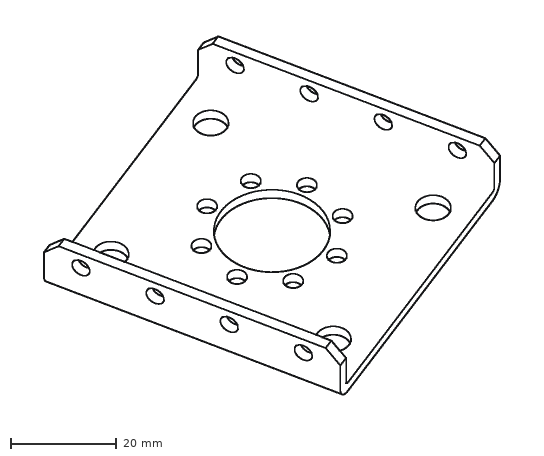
import cadquery as cq

length = 64.0
width = 64.0
height = 12.7
thickness = 2.286
inner_bend_radius = 0.762
outer_bend_radius = inner_bend_radius + thickness
flange_corner_chamfer = 3.175

flange_hole_diameter = 3.8
flange_hole_pitch = 16.0
flange_hole_count = 4
flange_hole_height = 9.15

bore_diameter = 22.1
bolt_circle_diameter = 28.0
bolt_hole_diameter = 3.8
bolt_hole_count = 8
mount_hole_diameter = 6.75
mount_hole_spacing_x = 48.0
mount_hole_spacing_y = 40.0


def make_channel():
    """U-shaped channel, centred in X and Y, with its underside at Z = 0."""
    outer = (
        cq.Workplane("XY")
        .box(length, width, height, centered=(True, True, False))
        .edges("|X and <Z")
        .fillet(outer_bend_radius)
    )
    inner = (
        cq.Workplane("XY")
        .workplane(offset=thickness)
        .box(length, width - 2 * thickness, height, centered=(True, True, False))
        .edges("|X and <Z")
        .fillet(inner_bend_radius)
    )
    return outer.cut(inner)


def chamfer_flange_corners(body):
    """Cut the upper corners at both ends of each flange."""
    return body.edges("|Y and >Z").chamfer(flange_corner_chamfer)


def drill_base(body):
    """Central bore, its ring of bolt holes and the four mounting holes."""
    bore = cq.Workplane("XY").circle(bore_diameter / 2).extrude(thickness)
    bolts = (
        cq.Workplane("XY")
        .polarArray(bolt_circle_diameter / 2, 0, 360, bolt_hole_count)
        .circle(bolt_hole_diameter / 2)
        .extrude(thickness)
    )
    mounts = (
        cq.Workplane("XY")
        .rect(mount_hole_spacing_x, mount_hole_spacing_y, forConstruction=True)
        .vertices()
        .circle(mount_hole_diameter / 2)
        .extrude(thickness)
    )
    return body.cut(bore).cut(bolts).cut(mounts)


def drill_flanges(body):
    """A row of evenly spaced holes along X, through both flanges."""
    holes = (
        cq.Workplane("XZ")
        .center(0, flange_hole_height)
        .rarray(flange_hole_pitch, 1, flange_hole_count, 1)
        .circle(flange_hole_diameter / 2)
        .extrude(width / 2, both=True)
    )
    return body.cut(holes)


channel = chamfer_flange_corners(make_channel())
result = drill_flanges(drill_base(channel))